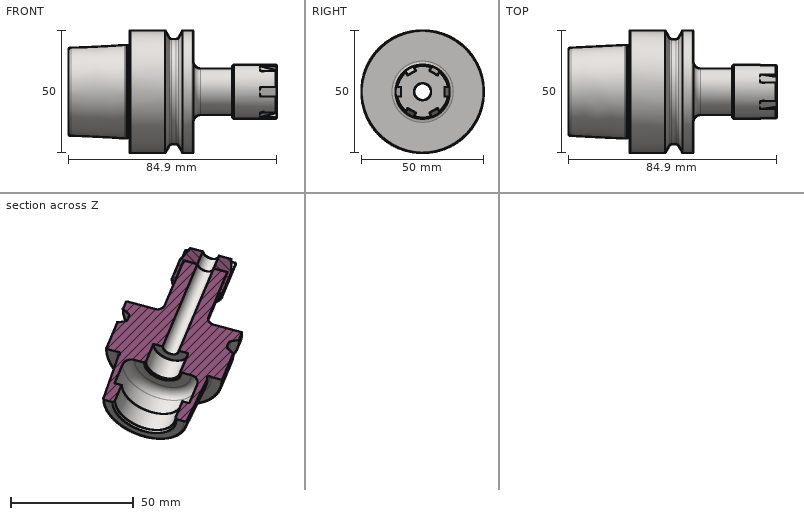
import cadquery as cq
import math


TOTAL_LENGTH = 84.9
ARC_MIDDLE = math.sqrt(0.5)

SEAT_X = 25.0
TAPER_END_X = 22.8
TAPER_END_RADIUS = 19.1
TAPER_SLOPE = 0.05
TAPER_TIP_RADIUS = TAPER_END_RADIUS - TAPER_SLOPE * TAPER_END_X
TAPER_TIP_FILLET = 1.0

RELIEF_START_X = 23.6
RELIEF_RADIUS = 18.85
RELIEF_FILLET = 0.8
RELIEF_DEPTH = 0.2
RELIEF_FACE_RADIUS = 20.4
RELIEF_FLOOR_X = SEAT_X + RELIEF_DEPTH

FLANGE_DIAMETER = 50.0
FLANGE_RADIUS = FLANGE_DIAMETER / 2
FLANGE_WIDTH = 25.9
FLANGE_END_X = SEAT_X + FLANGE_WIDTH
FLANGE_SEAT_CHAMFER = 0.25
FLANGE_END_FILLET = 0.5
GROOVE_X = 43.0
GROOVE_MOUTH = 7.1
GROOVE_FLOOR_RADIUS = 21.5
GROOVE_WALL_ANGLE = 30.0
GROOVE_FILLET = 1.0

SHANK_RADIUS = 9.5
SHANK_FILLET = 3.0
SHANK_END_X = 78.1

BORE_RADIUS = 13.0
BORE_CHAMFER_HEIGHT = 0.8
BORE_CHAMFER_LENGTH = 1.0
UNDERCUT_X = 9.7
UNDERCUT_RADIUS = 16.0
UNDERCUT_FILLET = 3.7
UNDERCUT_FLOOR_X = 23.3
COUNTERBORE_RADIUS = 7.4
COUNTERBORE_CHAMFER = 0.6
COUNTERBORE_DEPTH = 10.2
THROUGH_RADIUS = 3.4

NUT_START_X = 66.6
NUT_RADIUS = 11.0
NUT_START_CHAMFER = 0.85
NUT_END_CHAMFER = 0.5
SLOT_COUNT = 6
SLOT_WIDTH = 3.8
SLOT_LENGTH = 7.1
SLOT_END_DEPTH = 2.2


def cylinder(start_x, end_x, radius):
    return cq.Workplane("YZ", origin=(start_x, 0, 0)).circle(radius).extrude(end_x - start_x)


def revolve_about_x(profile):
    return profile.close().revolve(360, (0, 0, 0), (1, 0, 0))


def make_taper():
    corner_x = RELIEF_FLOOR_X - RELIEF_FILLET
    arc_mid_x = corner_x + RELIEF_FILLET * ARC_MIDDLE
    arc_mid_radius = RELIEF_RADIUS + RELIEF_FILLET * (1 - ARC_MIDDLE)
    taper = revolve_about_x(
        cq.Workplane("XY")
        .moveTo(0, 0)
        .lineTo(0, TAPER_TIP_RADIUS)
        .lineTo(TAPER_END_X, TAPER_END_RADIUS)
        .lineTo(RELIEF_START_X, TAPER_END_RADIUS)
        .lineTo(corner_x, RELIEF_RADIUS)
        .threePointArc((arc_mid_x, arc_mid_radius), (RELIEF_FLOOR_X, RELIEF_RADIUS + RELIEF_FILLET))
        .lineTo(RELIEF_FLOOR_X, 0)
    )
    return taper.faces("<X").edges().fillet(TAPER_TIP_FILLET)


def make_flange():
    flange = cylinder(SEAT_X, FLANGE_END_X, FLANGE_RADIUS)
    flange = flange.faces("<X").edges().chamfer(FLANGE_SEAT_CHAMFER)
    return flange.faces(">X").edges().fillet(FLANGE_END_FILLET)


def make_face_relief():
    """Shallow dished recess in the seat face, around the root of the taper."""
    return revolve_about_x(
        cq.Workplane("XY")
        .moveTo(SEAT_X, 0)
        .lineTo(SEAT_X, RELIEF_FACE_RADIUS)
        .lineTo(RELIEF_FLOOR_X, RELIEF_RADIUS + RELIEF_FILLET)
        .lineTo(RELIEF_FLOOR_X, 0)
    )


def make_groove():
    """Ring with sloped sides and a rounded floor, to be cut from the flange."""
    half_mouth = GROOVE_MOUTH / 2
    wall_run = (FLANGE_RADIUS - GROOVE_FLOOR_RADIUS) * math.tan(math.radians(GROOVE_WALL_ANGLE))
    half_floor = half_mouth - wall_run
    ring = revolve_about_x(
        cq.Workplane("XY")
        .moveTo(GROOVE_X - half_mouth, FLANGE_RADIUS)
        .lineTo(GROOVE_X - half_floor, GROOVE_FLOOR_RADIUS)
        .lineTo(GROOVE_X + half_floor, GROOVE_FLOOR_RADIUS)
        .lineTo(GROOVE_X + half_mouth, FLANGE_RADIUS)
    )
    floor_edges = cq.selectors.RadiusNthSelector(0)
    return ring.edges("%CIRCLE").edges(floor_edges).fillet(GROOVE_FILLET)


def make_shank():
    """Shank with a concave flare where it leaves the flange."""
    flare_end_x = FLANGE_END_X + SHANK_FILLET
    flare_radius = SHANK_RADIUS + SHANK_FILLET
    arc_offset = SHANK_FILLET * ARC_MIDDLE
    return revolve_about_x(
        cq.Workplane("XY")
        .moveTo(FLANGE_END_X, 0)
        .lineTo(FLANGE_END_X, flare_radius)
        .threePointArc(
            (flare_end_x - arc_offset, flare_radius - arc_offset),
            (flare_end_x, SHANK_RADIUS),
        )
        .lineTo(SHANK_END_X, SHANK_RADIUS)
        .lineTo(SHANK_END_X, 0)
    )


def make_hollow():
    """Stepped cavity: chamfered bore, wider undercut, chamfered counterbore, through hole."""
    counterbore_end_x = UNDERCUT_FLOOR_X + COUNTERBORE_DEPTH
    counterbore_mouth_radius = COUNTERBORE_RADIUS + COUNTERBORE_CHAMFER
    undercut = cylinder(UNDERCUT_X, UNDERCUT_FLOOR_X, UNDERCUT_RADIUS)
    undercut = undercut.faces(">X").edges().fillet(UNDERCUT_FILLET)
    other_steps = revolve_about_x(
        cq.Workplane("XY")
        .moveTo(0, 0)
        .lineTo(0, BORE_RADIUS + BORE_CHAMFER_HEIGHT)
        .lineTo(BORE_CHAMFER_LENGTH, BORE_RADIUS)
        .lineTo(UNDERCUT_X, BORE_RADIUS)
        .lineTo(UNDERCUT_X, counterbore_mouth_radius)
        .lineTo(UNDERCUT_FLOOR_X, counterbore_mouth_radius)
        .lineTo(UNDERCUT_FLOOR_X + COUNTERBORE_CHAMFER, COUNTERBORE_RADIUS)
        .lineTo(counterbore_end_x, COUNTERBORE_RADIUS)
        .lineTo(counterbore_end_x, THROUGH_RADIUS)
        .lineTo(SHANK_END_X, THROUGH_RADIUS)
        .lineTo(SHANK_END_X, 0)
    )
    return undercut.union(other_steps)


def make_holder():
    flange = make_flange().cut(make_groove()).cut(make_face_relief())
    return flange.union(make_taper()).union(make_shank()).cut(make_hollow())


def make_slot():
    """Wedge on the -Y side whose sloped floor deepens toward the end of the nut."""
    slope = SLOT_END_DEPTH / SLOT_LENGTH
    overrun = NUT_RADIUS
    return (
        cq.Workplane("XY")
        .moveTo(TOTAL_LENGTH - SLOT_LENGTH, -NUT_RADIUS)
        .lineTo(TOTAL_LENGTH + overrun, -NUT_RADIUS + slope * (SLOT_LENGTH + overrun))
        .lineTo(TOTAL_LENGTH + overrun, -NUT_RADIUS)
        .close()
        .extrude(SLOT_WIDTH / 2, both=True)
    )


def make_nut():
    nut = cylinder(NUT_START_X, TOTAL_LENGTH, NUT_RADIUS)
    nut = nut.faces("<X").edges().chamfer(NUT_START_CHAMFER)
    nut = nut.faces(">X").edges().chamfer(NUT_END_CHAMFER)
    nut = nut.cut(cylinder(NUT_START_X, SHANK_END_X, SHANK_RADIUS))
    nut = nut.cut(cylinder(SHANK_END_X, TOTAL_LENGTH, THROUGH_RADIUS))
    for index in range(SLOT_COUNT):
        angle = index * 360 / SLOT_COUNT
        nut = nut.cut(make_slot().rotate((0, 0, 0), (1, 0, 0), angle))
    return nut


holder = make_holder()
nut = make_nut()

result = cq.Compound.makeCompound([holder.val(), nut.val()])